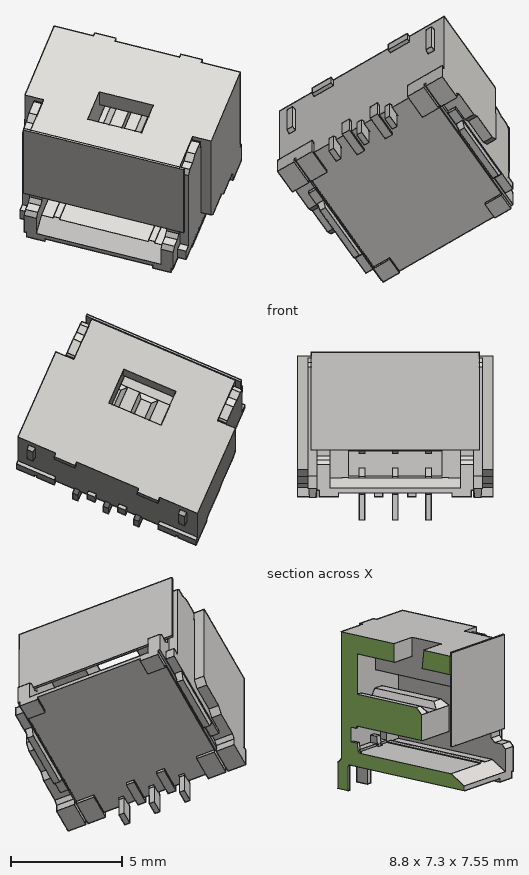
import cadquery as cq


HALF_WIDTH = 4.4
CORE_HALF_WIDTH = 3.52
TOP_Z = 6.34
FRONT_Y = -6.28
CHEEK_TOP_FRONT_Y = -4.27
CHEEK_FRONT_Y = -4.3
UNDERSIDE_Z = 0.17
CHEEK_LOW_Z = 0.61
CHEEK_HEEL = 0.18
CHEEK_STEPS = [(-2.455, CHEEK_LOW_Z), (-2.75, 0.915), (-4.0, 0.915), (CHEEK_FRONT_Y, 1.22)]
EDGE_HALF_WIDTH = 3.41
EDGE_RELIEF_Z = 0.3

FOOT_BACK_Y = 0.16
FOOT_TOP_Z = 1.12
FOOT_FRONT_Y = -1.08
FOOT_INNER_X = 2.54
RIB_HALF_WIDTH = 0.19

PAD_INNER_X = 1.52
PAD_BACK_Y = 0.18
PAD_BOTTOM_Z = 5.77

JAW_FRONT_Y = -7.09
JAW_ROOT_Z = 1.83
JAW_TOP_Z = 1.65
JAW_NOSE_Z = 1.46
JAW_TOP_BACK_Y = -6.49
JAW_TOP_FRONT_Y = -6.9

CAVITY_HALF_WIDTH = 2.94
CAVITY_FLOOR_Z = 0.845
CAVITY_CEILING_Z = 4.435
CAVITY_BACK_Y = -0.94
LEAD_IN_DEPTH = 0.75
LEAD_IN_Z = 0.405
RAIL_WIDTH = 0.3
RAIL_HEIGHT = 0.035

LATCH_HALF_WIDTH = 1.28
LATCH_CEILING_Z = 5.45
WINDOW_BACK_Y = -3.06
WINDOW_FRONT_Y = -4.75
WINDOW_DRAFT = 0.11

TONGUE_FRONT_Y = -4.65
TONGUE_BOTTOM_Z = 2.07
TONGUE_TOP_Z = 3.29
RIDGE_HEIGHT = 0.29
RIDGE_BASE_HALF_WIDTH = 0.46
RIDGE_TOP_HALF_WIDTH = 0.255
RIDGE_BEVEL = 0.31

RECESS_DEPTH = 0.35
RECESS_HALF_WIDTH = 2.09
RECESS_FLOOR_Z = 0.95

CONTACT_COUNT = 3
CONTACT_PITCH = 1.5
CONTACT_WIDTH = 0.255
TAIL_BOTTOM_Z = -1.05
TAIL_BACK_Y = 0.21
TAIL_FRONT_Y = -0.405
TAIL_BEND_Z = 0.19
TAIL_BEND = 0.09
LOWER_BEAM_TOP_Z = 1.29
LOWER_BEAM_TOE_Z = 0.915
LOWER_BEAM_LEAN = 0.05
UPPER_BEAM_BOTTOM_Z = 1.95

TAB_OUTER_X = 3.925
TAB_BOTTOM_Z = 0.37
TAB_LIP_Z = 0.95
TAB_LIP_FRONT_Y = -6.45
TAB_FRONT_Y = -6.11
TAB_REAR_Y = -1.69
TAB_NECK_REAR_Y = -4.34
TAB_SHOULDER_Z = 5.8
TAB_HEAD = [
    (TAB_NECK_REAR_Y, 6.195),
    (-4.44, 6.25),
    (-5.14, 6.25),
    (-5.52, 6.05),
    (-5.91, 6.05),
    (TAB_FRONT_Y, 5.83),
]
TAB_TAIL_INNER_X = 3.54
TAB_TAIL_OUTER_X = 3.88
TAB_TAIL_TAPER = 0.03
TAB_TAIL_BASE_Y = (-5.55, -2.33)
TAB_TAIL_TIP_Y = (-5.35, -2.53)
TAB_TAIL_BASE_Z = (3.47, 5.57)
TAB_TAIL_TIP_Z = (3.52, 5.51)
TAB_TAIL_BOTTOM_Z = -0.035

FILM_HALF_WIDTH = 3.78
FILM_THICKNESS = 0.1
FILM_BOTTOM_Z = 2.1
FILM_TOP_Z = 6.5


def box(x_range, y_range, z_range):
    """Box between the given limits on each axis."""
    limits = (x_range, y_range, z_range)
    size = [high - low for low, high in limits]
    corner = [low for low, high in limits]
    return cq.Workplane("XY").box(*size, centered=False).translate(tuple(corner))


def side_plate(outline, x_range):
    """Plate with a (y, z) outline, between two X positions."""
    low, high = x_range
    return cq.Workplane("YZ", origin=(low, 0, 0)).polyline(outline).close().extrude(high - low)


def mirrored(detail):
    """A detail together with its mirror image across the middle of the part."""
    return detail.union(detail.mirror("YZ"))


def make_core():
    core_x = (-CORE_HALF_WIDTH, CORE_HALF_WIDTH)
    outline = [
        (0, UNDERSIDE_Z),
        (0, TOP_Z),
        (FRONT_Y, TOP_Z),
        (FRONT_Y, JAW_ROOT_Z),
        (JAW_TOP_BACK_Y, JAW_TOP_Z),
        (JAW_TOP_FRONT_Y, JAW_TOP_Z),
        (JAW_FRONT_Y, JAW_NOSE_Z),
        (JAW_FRONT_Y, UNDERSIDE_Z),
    ]
    return side_plate(outline, core_x)


def make_edge_reliefs():
    """Channels under both edges of the core, open at the front and rear."""
    return mirrored(box((EDGE_HALF_WIDTH, CORE_HALF_WIDTH), (JAW_FRONT_Y, FOOT_BACK_Y), (0, EDGE_RELIEF_Z)))


def make_cheeks():
    """Side blocks behind the tabs, stepped along their lower front edge."""
    outline = [
        (0, TOP_Z),
        (CHEEK_TOP_FRONT_Y, TOP_Z),
        *reversed(CHEEK_STEPS),
        (FOOT_FRONT_Y - CHEEK_HEEL, CHEEK_LOW_Z),
        (FOOT_FRONT_Y, CHEEK_LOW_Z - CHEEK_HEEL),
        (FOOT_FRONT_Y, 0),
        (0, 0),
    ]
    cheek = side_plate(outline, (CORE_HALF_WIDTH, HALF_WIDTH))
    return mirrored(cheek)


def make_feet():
    rear_foot = box((FOOT_INNER_X, HALF_WIDTH), (0, FOOT_BACK_Y), (0, FOOT_TOP_Z))
    rear_sole = box((FOOT_INNER_X, HALF_WIDTH), (FOOT_FRONT_Y, 0), (0, UNDERSIDE_Z))
    front_foot = box((FOOT_INNER_X, EDGE_HALF_WIDTH), (JAW_FRONT_Y, FRONT_Y), (0, UNDERSIDE_Z))
    rib_x = CONTACT_PITCH / 2
    rib_range = (rib_x - RIB_HALF_WIDTH, rib_x + RIB_HALF_WIDTH)
    rib = box(rib_range, (0, FOOT_BACK_Y), (0, FOOT_TOP_Z))
    rib_sole = box(rib_range, (FOOT_FRONT_Y, 0), (0, UNDERSIDE_Z))
    pad = box((PAD_INNER_X, FOOT_INNER_X), (0, PAD_BACK_Y), (PAD_BOTTOM_Z, TOP_Z))
    return mirrored(rear_foot.union(rear_sole).union(front_foot).union(rib).union(rib_sole).union(pad))


def make_cavity():
    """Empty space of the mating cavity, latch pocket, window and contact recess; floor rails stay solid."""
    lead_in_back_y = JAW_FRONT_Y + LEAD_IN_DEPTH
    outline = [
        (CAVITY_BACK_Y, CAVITY_FLOOR_Z),
        (CAVITY_BACK_Y, CAVITY_CEILING_Z),
        (JAW_FRONT_Y, CAVITY_CEILING_Z),
        (JAW_FRONT_Y, LEAD_IN_Z),
        (lead_in_back_y, CAVITY_FLOOR_Z),
    ]
    cavity = side_plate(outline, (-CAVITY_HALF_WIDTH, CAVITY_HALF_WIDTH))

    lead_in_slope = (CAVITY_FLOOR_Z - LEAD_IN_Z) / LEAD_IN_DEPTH
    rail_front_y = lead_in_back_y + RAIL_HEIGHT / lead_in_slope
    rail_outline = [
        (CAVITY_BACK_Y, CAVITY_FLOOR_Z),
        (CAVITY_BACK_Y, CAVITY_FLOOR_Z + RAIL_HEIGHT),
        (rail_front_y, CAVITY_FLOOR_Z + RAIL_HEIGHT),
        (lead_in_back_y, CAVITY_FLOOR_Z),
    ]
    rail = side_plate(rail_outline, (RECESS_HALF_WIDTH, RECESS_HALF_WIDTH + RAIL_WIDTH))
    cavity = cavity.cut(mirrored(rail))

    latch_x = (-LATCH_HALF_WIDTH, LATCH_HALF_WIDTH)
    pocket = box(latch_x, (FRONT_Y, CAVITY_BACK_Y), (CAVITY_CEILING_Z, LATCH_CEILING_Z))
    window_outline = [
        (WINDOW_BACK_Y, LATCH_CEILING_Z),
        (WINDOW_BACK_Y, TOP_Z),
        (WINDOW_FRONT_Y, TOP_Z),
        (WINDOW_FRONT_Y + WINDOW_DRAFT, LATCH_CEILING_Z),
    ]
    window = side_plate(window_outline, latch_x)
    recess = box(
        (-RECESS_HALF_WIDTH, RECESS_HALF_WIDTH),
        (CAVITY_BACK_Y, CAVITY_BACK_Y + RECESS_DEPTH),
        (RECESS_FLOOR_Z, TONGUE_BOTTOM_Z),
    )
    return cavity.union(pocket).union(window).union(recess)


def contact_positions():
    middle = (CONTACT_COUNT - 1) / 2
    return [(index - middle) * CONTACT_PITCH for index in range(CONTACT_COUNT)]


def make_ridge():
    """Ridge with sloping sides and a sloping front end, on top of the tongue."""
    ridge_top_z = TONGUE_TOP_Z + RIDGE_HEIGHT
    section = [
        (-RIDGE_BASE_HALF_WIDTH, TONGUE_TOP_Z),
        (RIDGE_BASE_HALF_WIDTH, TONGUE_TOP_Z),
        (RIDGE_TOP_HALF_WIDTH, ridge_top_z),
        (-RIDGE_TOP_HALF_WIDTH, ridge_top_z),
    ]
    length = CAVITY_BACK_Y - TONGUE_FRONT_Y
    prism = cq.Workplane("XZ", origin=(0, CAVITY_BACK_Y, 0)).polyline(section).close().extrude(length)
    profile = [
        (CAVITY_BACK_Y, TONGUE_TOP_Z),
        (CAVITY_BACK_Y, ridge_top_z),
        (TONGUE_FRONT_Y + RIDGE_BEVEL, ridge_top_z),
        (TONGUE_FRONT_Y, TONGUE_TOP_Z),
    ]
    return prism.intersect(side_plate(profile, (-RIDGE_BASE_HALF_WIDTH, RIDGE_BASE_HALF_WIDTH)))


def make_tongue():
    half_width = contact_positions()[-1] + RIDGE_BASE_HALF_WIDTH
    tongue = box(
        (-half_width, half_width),
        (TONGUE_FRONT_Y, CAVITY_BACK_Y),
        (TONGUE_BOTTOM_Z, TONGUE_TOP_Z),
    )
    ridge = make_ridge()
    for x in contact_positions():
        tongue = tongue.union(ridge.translate((x, 0, 0)))
    return tongue


def make_contact():
    """Tail below the rear face and the two beams inside the contact recess."""
    width = (-CONTACT_WIDTH / 2, CONTACT_WIDTH / 2)
    tail_outline = [
        (TAIL_FRONT_Y, TAIL_BOTTOM_Z),
        (TAIL_BACK_Y, TAIL_BOTTOM_Z),
        (TAIL_BACK_Y, TAIL_BEND_Z),
        (0, TAIL_BEND_Z + TAIL_BACK_Y),
        (TAIL_FRONT_Y - TAIL_BEND, TAIL_BEND_Z + TAIL_BACK_Y),
        (TAIL_FRONT_Y - TAIL_BEND, TAIL_BEND_Z),
        (TAIL_FRONT_Y, TAIL_BEND_Z - TAIL_BEND),
    ]
    beam_back_y = CAVITY_BACK_Y + RECESS_DEPTH
    lower_outline = [
        (beam_back_y, CAVITY_FLOOR_Z),
        (beam_back_y, LOWER_BEAM_TOP_Z),
        (CAVITY_BACK_Y, LOWER_BEAM_TOP_Z),
        (CAVITY_BACK_Y - LOWER_BEAM_LEAN, LOWER_BEAM_TOE_Z),
        (CAVITY_BACK_Y - LOWER_BEAM_LEAN - LOWER_BEAM_TOE_Z + CAVITY_FLOOR_Z, CAVITY_FLOOR_Z),
    ]
    upper_outline = [
        (beam_back_y, UPPER_BEAM_BOTTOM_Z),
        (beam_back_y, TONGUE_BOTTOM_Z),
        (CAVITY_BACK_Y, TONGUE_BOTTOM_Z),
        (CAVITY_BACK_Y + TONGUE_BOTTOM_Z - UPPER_BEAM_BOTTOM_Z, UPPER_BEAM_BOTTOM_Z),
    ]
    lower_beam = side_plate(lower_outline, width)
    upper_beam = side_plate(upper_outline, width)
    return side_plate(tail_outline, width).union(lower_beam).union(upper_beam)


def tapered_tail(base, tip):
    """Ruled solid between a base rectangle and a smaller tip rectangle, each a list of (x, y, z) corners."""
    wires = [cq.Wire.makePolygon([cq.Vector(*corner) for corner in corners], close=True)
             for corners in (base, tip)]
    return cq.Workplane(cq.Solid.makeLoft(wires, True))


def tail_section(along_range, inset):
    """Corners of a tab tail's cross-section as (x, distance along the tail's long side)."""
    low, high = along_range
    x_low = TAB_TAIL_INNER_X + inset
    x_high = TAB_TAIL_OUTER_X - inset
    return [(x_low, low), (x_high, low), (x_high, high), (x_low, high)]


def make_tab_tails():
    """Tails of one tab: one below it, and one out through the rear face."""
    bottom = tapered_tail(
        [(x, y, TAB_BOTTOM_Z) for x, y in tail_section(TAB_TAIL_BASE_Y, 0)],
        [(x, y, TAB_TAIL_BOTTOM_Z) for x, y in tail_section(TAB_TAIL_TIP_Y, TAB_TAIL_TAPER)],
    )
    rear = tapered_tail(
        [(x, 0, z) for x, z in tail_section(TAB_TAIL_BASE_Z, 0)],
        [(x, TAIL_BACK_Y, z) for x, z in tail_section(TAB_TAIL_TIP_Z, TAB_TAIL_TAPER)],
    )
    return bottom.union(rear)


def make_tabs():
    outline = [
        (CHEEK_TOP_FRONT_Y, TAB_SHOULDER_Z),
        (TAB_NECK_REAR_Y, TAB_SHOULDER_Z),
        *TAB_HEAD,
        (TAB_FRONT_Y, TAB_LIP_Z),
        (TAB_LIP_FRONT_Y, TAB_LIP_Z),
        (TAB_LIP_FRONT_Y, TAB_BOTTOM_Z),
        (TAB_REAR_Y, TAB_BOTTOM_Z),
        (TAB_REAR_Y, CHEEK_LOW_Z),
        *CHEEK_STEPS,
        (CHEEK_TOP_FRONT_Y, CHEEK_STEPS[-1][1]),
    ]
    tab = side_plate(outline, (CORE_HALF_WIDTH, TAB_OUTER_X))
    return mirrored(tab.union(make_tab_tails()))


def make_housing():
    housing = make_core().cut(make_cavity())
    for feature in (make_cheeks(), make_feet(), make_tongue()):
        housing = housing.union(feature)
    housing = housing.cut(make_edge_reliefs()).union(make_tabs())
    contact = make_contact()
    for x in contact_positions():
        housing = housing.union(contact.translate((x, 0, 0)))
    return housing


def make_film():
    """Thin pick-up film on the front face of the housing."""
    return box(
        (-FILM_HALF_WIDTH, FILM_HALF_WIDTH),
        (FRONT_Y - FILM_THICKNESS, FRONT_Y),
        (FILM_BOTTOM_Z, FILM_TOP_Z),
    )


housing = make_housing()
film = make_film()

result = cq.Compound.makeCompound([housing.val(), film.val()])